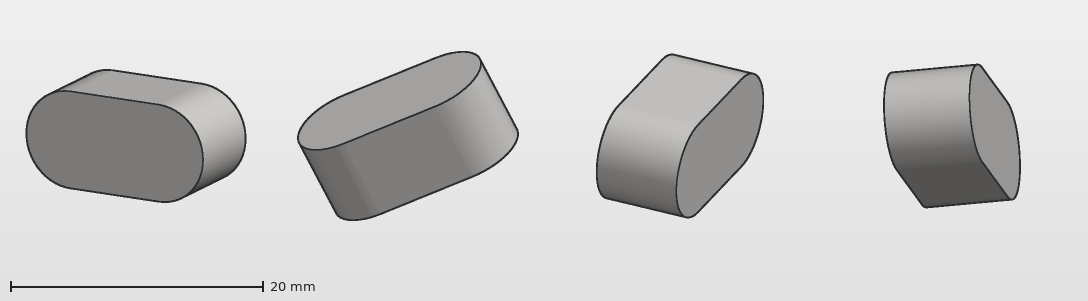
import cadquery as cq

length = 16.0
thickness = 7.0
height = 8.0

result = (
    cq.Workplane("XZ")
    .slot2D(length, height)
    .extrude(thickness / 2, both=True)
)